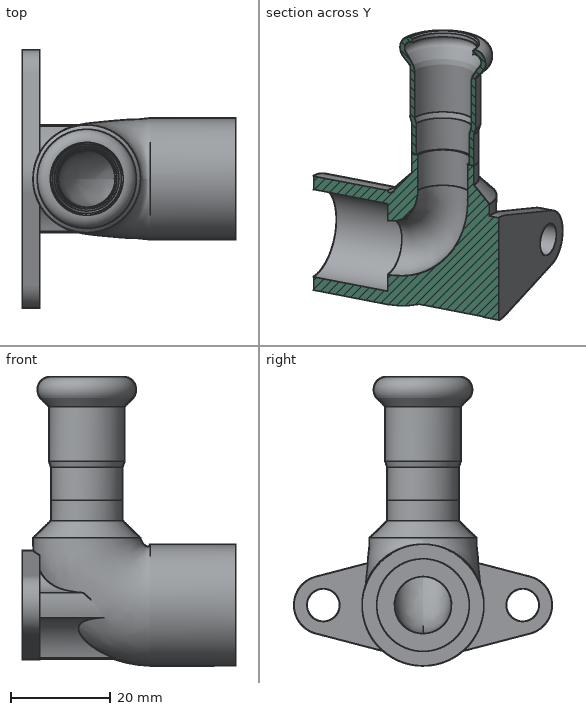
import cadquery as cq
import math


overall_length = 43.0
overall_height = 58.25

flange_back = -13.0
flange_thickness = 3.55
flange_front = flange_back + flange_thickness
flange_centre_radius = 11.0
flange_end_radius = 5.95
flange_width = 52.0
hole_offset = flange_width / 2 - flange_end_radius
hole_diameter = 6.5

boss_radius = 10.9
arm_half_width = 2.5
arm_reach = math.sqrt(boss_radius**2 - arm_half_width**2)
scoop_radius = 10.5
scoop_half_chord = (arm_reach - arm_half_width) / math.sqrt(2)
scoop_axis_distance = (arm_reach + arm_half_width) / math.sqrt(2) + math.sqrt(
    scoop_radius**2 - scoop_half_chord**2
)

elbow_radius = 10.85
elbow_bore_diameter = 11.5
socket_diameter = 24.5
socket_bore_diameter = 18.65
socket_start = 12.75
socket_end = flange_back + overall_length
bend_pull = 7.35

bend_top = 13.5
cone_top = 17.0
joint_height = 21.1
neck_diameter = 14.5
neck_bore_diameter = 11.4

tube_top = overall_height - socket_diameter / 2
tube_wall = 1.15
tube_lower_radius = neck_diameter / 2
tube_lower_bore_radius = 12.2 / 2
tube_upper_radius = 15.3 / 2
tube_upper_bore_radius = 13.0 / 2
step_bottom = 27.8
step_top = 28.95

bead_radius = 9.95
bead_height = 43.7
bead_cone_bottom = 39.95
bead_cone_top = 41.7
bead_cone_radius = tube_upper_radius + bead_cone_top - bead_cone_bottom
bead_rim_radius = 7.35
mouth_radius = 7
mouth_chamfer = bead_rim_radius - mouth_radius
groove_radius = bead_radius - tube_wall
groove_cone_radius = 8.3
groove_cone_top = 42.3
groove_throat_radius = 6.8
groove_throat_height = 40.15
groove_bottom = 39.1
groove_top = tube_top - tube_wall


def make_flange():
    """Lozenge plate: a large middle arc joined by tangents to two end arcs."""
    slope = math.asin((flange_centre_radius - flange_end_radius) / hole_offset)
    middle_y = flange_centre_radius * math.sin(slope)
    middle_z = flange_centre_radius * math.cos(slope)
    end_y = hole_offset + flange_end_radius * math.sin(slope)
    end_z = flange_end_radius * math.cos(slope)
    return (
        cq.Workplane("YZ", origin=(flange_back, 0, 0))
        .moveTo(-middle_y, middle_z)
        .threePointArc((0, flange_centre_radius), (middle_y, middle_z))
        .lineTo(end_y, end_z)
        .threePointArc((flange_width / 2, 0), (end_y, -end_z))
        .lineTo(middle_y, -middle_z)
        .threePointArc((0, -flange_centre_radius), (-middle_y, -middle_z))
        .lineTo(-end_y, -end_z)
        .threePointArc((-flange_width / 2, 0), (-end_y, end_z))
        .close()
        .extrude(flange_thickness)
        .cut(
            cq.Workplane("YZ", origin=(flange_back, 0, 0))
            .pushPoints([(-hole_offset, 0), (hole_offset, 0)])
            .circle(hole_diameter / 2)
            .extrude(flange_thickness)
        )
    )


def make_boss():
    """Round bar with four concave scoops that leave a cross."""
    length = socket_start - flange_front
    bar = cq.Workplane("YZ", origin=(flange_front, 0, 0)).circle(boss_radius).extrude(length)
    scoops = (
        cq.Workplane("YZ", origin=(flange_front, 0, 0))
        .polarArray(scoop_axis_distance, 45, 360, 4)
        .circle(scoop_radius)
        .extrude(length)
    )
    return bar.cut(scoops)


def make_bend(start_radius, end_radius):
    """Quarter bend from the tube axis to the socket axis, with a changing radius."""
    path = cq.Edge.makeBezier([
        cq.Vector(0, 0, bend_top),
        cq.Vector(0, 0, bend_top - bend_pull),
        cq.Vector(socket_start - bend_pull, 0, 0),
        cq.Vector(socket_start, 0, 0),
    ])
    spine = cq.Wire.assembleEdges([path])
    start = cq.Wire.makeCircle(start_radius, cq.Vector(0, 0, bend_top), cq.Vector(0, 0, -1))
    end = cq.Wire.makeCircle(end_radius, cq.Vector(socket_start, 0, 0), cq.Vector(1, 0, 0))
    return cq.Workplane(cq.Solid.sweep_multi([start, end], spine))


def make_neck():
    """Cone and tube seat above the bend."""
    return (
        cq.Workplane("XZ")
        .moveTo(0, bend_top)
        .lineTo(elbow_radius, bend_top)
        .lineTo(neck_diameter / 2, cone_top)
        .lineTo(neck_diameter / 2, joint_height)
        .lineTo(0, joint_height)
        .close()
        .revolve(360, (0, 0, 0), (0, 1, 0))
    )


def make_socket(diameter):
    return (
        cq.Workplane("YZ", origin=(socket_start, 0, 0))
        .circle(diameter / 2)
        .extrude(socket_end - socket_start)
    )


def make_housing():
    bend_bore = make_bend(elbow_bore_diameter / 2, elbow_bore_diameter / 2)
    neck_bore = (
        cq.Workplane("XY", origin=(0, 0, bend_top))
        .circle(neck_bore_diameter / 2)
        .extrude(joint_height - bend_top)
    )
    return (
        make_bend(elbow_radius, socket_diameter / 2)
        .union(make_boss())
        .union(make_flange())
        .union(make_neck())
        .union(make_socket(socket_diameter))
        .cut(bend_bore)
        .cut(neck_bore)
        .cut(make_socket(socket_bore_diameter))
    )


def make_press_tube():
    """Stepped tube ending in a hollow bead, turned from one wall section."""
    return (
        cq.Workplane("XZ")
        .moveTo(tube_lower_bore_radius, joint_height)
        .lineTo(tube_lower_radius, joint_height)
        .lineTo(tube_lower_radius, step_bottom)
        .lineTo(tube_upper_radius, step_top)
        .lineTo(tube_upper_radius, bead_cone_bottom)
        .lineTo(bead_cone_radius, bead_cone_top)
        .threePointArc((bead_radius, bead_height), (bead_rim_radius, tube_top))
        .lineTo(mouth_radius, tube_top - mouth_chamfer)
        .lineTo(mouth_radius, groove_top)
        .threePointArc((groove_radius, bead_height), (groove_cone_radius, groove_cone_top))
        .lineTo(groove_throat_radius, groove_throat_height)
        .lineTo(tube_upper_bore_radius, groove_bottom)
        .lineTo(tube_upper_bore_radius, step_top)
        .lineTo(tube_lower_bore_radius, step_bottom)
        .close()
        .revolve(360, (0, 0, 0), (0, 1, 0))
    )


housing = make_housing().solids()
press_tube = make_press_tube()

result = cq.Compound.makeCompound([housing.val(), press_tube.val()])